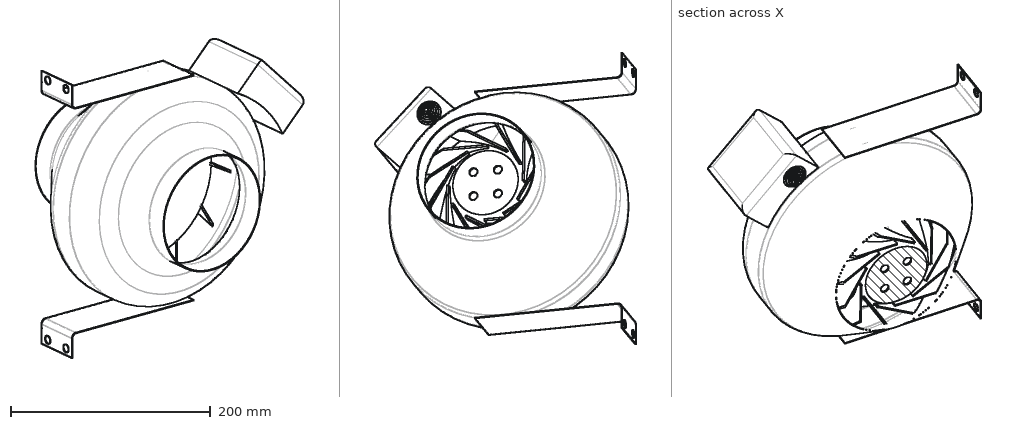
import cadquery as cq
import math

overall_length = 210.0
duct_length = 23.7
duct_radius = 61.2
drum_radius = 120.0
drum_start = 105.2
drum_end = 131.8
wall = 1.0
outlet_bend_radius = 10.3
inlet_bend_radius = 25.5
inlet_duct_start = overall_length - duct_length

box_length = 80.3
box_half_width = box_length / 2
box_top = 156.5
box_edge_radius = 7.5
box_angle = 45.0
gland_offset = -box_half_width / 2
gland_height = 131.5
gland_steps = 6
gland_step = 2.0
gland_base_length = 1.0

hub_start = 35.2
hub_end = 99.0
hub_face_radius = 34.0
vane_tip_radius = 59.8
vane_count = 12
vane_inner_radius = 38.5
vane_root_offset = 1.2
vane_tilt = 0.9
vane_thickness = 2.0
bolt_hole_diameter = 8.5
bolt_hole_depth = 2.0
bolt_spacing = 25.5

overall_height = 293.0
bracket_width = 50.0
bracket_center = (drum_start + drum_end) / 2
bracket_thickness = 1.0
bracket_bend_radius = 5.3
bracket_front = -125.5
bracket_back = 28.0
bracket_hole_diameter = 8.5
bracket_hole_spacing = 30.0
bracket_hole_edge = 7.3
foot_tip = overall_height / 2


def bend_angle(length, rise, radius):
    """Slope of the straight line that joins two equal, opposite, tangent arcs."""
    center_rise = rise - 2 * radius
    center_distance = math.hypot(length, center_rise)
    return math.atan2(center_rise, length) + math.asin(2 * radius / center_distance)


cone_angle = bend_angle(drum_start - duct_length, drum_radius - duct_radius, outlet_bend_radius)
bell_angle = bend_angle(inlet_duct_start - drum_end, drum_radius - duct_radius, inlet_bend_radius)


def arc_point(center_x, center_radius, radius, angle):
    """Point on an arc of the profile, at an angle measured from the radial direction towards -X.

    A negative radius gives a concave arc, whose center lies outside the housing.
    """
    return (center_x - radius * math.sin(angle), center_radius + radius * math.cos(angle))


def revolved_housing(inset):
    """Solid of revolution bounded by the housing's outer profile moved inwards by inset."""
    convex_cone = outlet_bend_radius - inset
    concave_cone = -outlet_bend_radius - inset
    convex_bell = inlet_bend_radius - inset
    concave_bell = -inlet_bend_radius - inset
    spigot_cone_center = (duct_length, duct_radius + outlet_bend_radius)
    drum_cone_center = (drum_start, drum_radius - outlet_bend_radius)
    drum_bell_center = (drum_end, drum_radius - inlet_bend_radius)
    spigot_bell_center = (inlet_duct_start, duct_radius + inlet_bend_radius)
    profile = (
        cq.Workplane("XZ")
        .moveTo(0, 0)
        .lineTo(0, duct_radius - inset)
        .lineTo(duct_length, duct_radius - inset)
        .threePointArc(
            arc_point(*spigot_cone_center, concave_cone, cone_angle / 2),
            arc_point(*spigot_cone_center, concave_cone, cone_angle),
        )
        .lineTo(*arc_point(*drum_cone_center, convex_cone, cone_angle))
        .threePointArc(
            arc_point(*drum_cone_center, convex_cone, cone_angle / 2),
            (drum_start, drum_radius - inset),
        )
        .lineTo(drum_end, drum_radius - inset)
        .threePointArc(
            arc_point(*drum_bell_center, convex_bell, -bell_angle / 2),
            arc_point(*drum_bell_center, convex_bell, -bell_angle),
        )
        .lineTo(*arc_point(*spigot_bell_center, concave_bell, -bell_angle))
        .threePointArc(
            arc_point(*spigot_bell_center, concave_bell, -bell_angle / 2),
            (inlet_duct_start, duct_radius - inset),
        )
        .lineTo(overall_length, duct_radius - inset)
        .lineTo(overall_length, 0)
        .close()
    )
    return profile.revolve(360, (0, 0, 0), (1, 0, 0))


def terminal_box():
    """Box with rounded lid edges, a stepped cable gland and an underside curved like the drum."""
    box = (
        cq.Workplane("XY")
        .box(box_length, 2 * box_half_width, box_top, centered=(False, True, False))
        .translate((drum_start, 0, 0))
        .faces(">Z")
        .edges()
        .fillet(box_edge_radius)
    )
    drum_clearance = cq.Workplane("YZ").circle(drum_radius).extrude(overall_length)
    box = box.cut(drum_clearance)
    for step in range(1, gland_steps + 1):
        disc = (
            cq.Workplane("YZ", origin=(drum_start, gland_offset, gland_height))
            .circle(step * gland_step)
            .extrude(-gland_base_length - (gland_steps - step) * gland_step)
        )
        box = box.union(disc)
    return box.rotate((0, 0, 0), (1, 0, 0), -box_angle)


def make_housing():
    """Thin fan shell with the terminal box formed onto its drum."""
    shell = revolved_housing(0).cut(revolved_housing(wall))
    return shell.union(terminal_box())


def frustum(front_radius):
    """Cone frustum over the hub's length, parallel to the cone of the housing."""
    rear_radius = front_radius + (hub_end - hub_start) * math.tan(cone_angle)
    return (
        cq.Workplane("XZ")
        .polyline([(hub_start, 0), (hub_start, front_radius), (hub_end, rear_radius), (hub_end, 0)])
        .close()
        .revolve(360, (0, 0, 0), (1, 0, 0))
    )


def make_vane_unit():
    """Conical hub with a ring of straight vanes that leave it tangentially."""
    unit = frustum(hub_face_radius)
    vane = (
        cq.Workplane("XY")
        .box(hub_end - hub_start, drum_radius, vane_thickness, centered=False)
        .rotate((0, 0, 0), (1, 0, 0), vane_tilt)
        .translate((hub_start, -vane_root_offset, vane_inner_radius))
        .intersect(frustum(vane_tip_radius))
    )
    for index in range(vane_count):
        unit = unit.union(vane.rotate((0, 0, 0), (1, 0, 0), index * 360 / vane_count))
    bolt_holes = (
        cq.Workplane("YZ", origin=(hub_start, 0, 0))
        .rect(bolt_spacing, bolt_spacing, forConstruction=True)
        .vertices()
        .circle(bolt_hole_diameter / 2)
        .extrude(bolt_hole_depth)
    )
    return unit.cut(bolt_holes)


def make_bracket(side):
    """Strip tangent to the drum, bent outwards into a foot with two holes.

    The side is 1 for the bracket above the drum and -1 for its mirror image below.
    """
    inner_bend_radius = bracket_bend_radius - bracket_thickness
    bracket = (
        cq.Workplane("YZ", origin=(bracket_center - bracket_width / 2, 0, 0))
        .moveTo(bracket_back, drum_radius)
        .lineTo(bracket_front + bracket_bend_radius, drum_radius)
        .radiusArc((bracket_front, drum_radius + bracket_bend_radius), bracket_bend_radius)
        .lineTo(bracket_front, foot_tip)
        .lineTo(bracket_front + bracket_thickness, foot_tip)
        .lineTo(bracket_front + bracket_thickness, drum_radius + bracket_bend_radius)
        .radiusArc(
            (bracket_front + bracket_bend_radius, drum_radius + bracket_thickness),
            -inner_bend_radius,
        )
        .lineTo(bracket_back, drum_radius + bracket_thickness)
        .close()
        .extrude(bracket_width)
    )
    holes = (
        cq.Workplane("XZ", origin=(bracket_center, bracket_front, foot_tip - bracket_hole_edge))
        .pushPoints([(-bracket_hole_spacing / 2, 0), (bracket_hole_spacing / 2, 0)])
        .circle(bracket_hole_diameter / 2)
        .extrude(-bracket_thickness)
    )
    bracket = bracket.cut(holes)
    return bracket if side > 0 else bracket.mirror("XY")


housing = make_housing()
vane_unit = make_vane_unit()
brackets = [make_bracket(side) for side in (1, -1)]

result = cq.Compound.makeCompound(
    [housing.val(), vane_unit.val(), *[bracket.val() for bracket in brackets]]
)